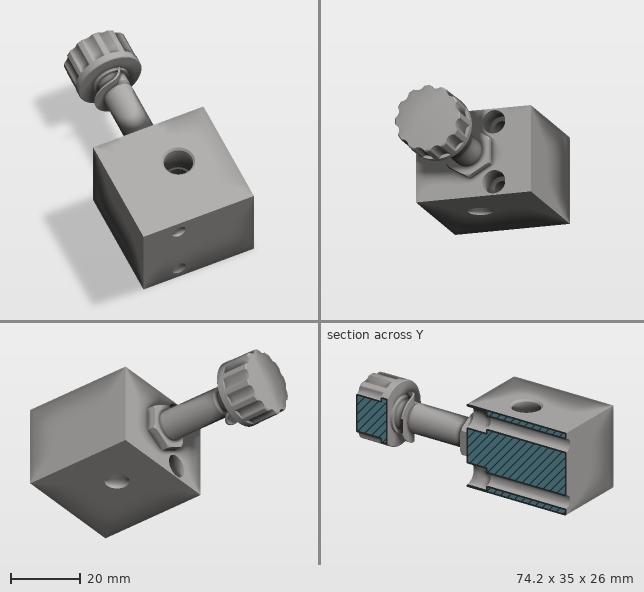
import cadquery as cq
import math

total_length = 74.2
block_width = 35.0
block_height = 26.0
block_start = total_length - block_width
stem_offset = 0.8

port_x = 53.9
port_y = 2.8
port_dia = 8.5
port_depth = 8.9
port_chamfer = 0.6
passage_dia = 7.2

screw_y = -6.2
screw_spacing = 18.0
screw_dia = 4.2
screw_head_dia = 7.0
screw_head_depth = 7.0

nut_start = 36.4
nut_flats = 13.0
nut_corners = nut_flats / math.cos(math.pi / 6)
nut_chamfer = 0.5

stem_dia = 9.05
groove_middle = 15.8
groove_floor_width = 0.4
groove_depth = 0.6
collar_dia = 11.1
collar_end = 11.95

knob_dia = 20.0
knob_front_dia = 19.9
knob_taper_end = 9.4
knob_end = 11.05
knob_crown = 0.3
knob_front_chamfer = 0.4
knob_back_chamfer = 0.2

flute_count = 12
flute_end = 8.8
flute_angle = 20.0
flute_depth = 1.05
flute_edge_fillet = 0.6

clip_dia = 14.8
clip_thickness = 0.5
clip_back = 16.5
clip_bend_radius = 4.75
clip_bend_angle = math.radians(60)
clip_bend_start = -2.5
clip_edge_steps = 6


def rod(diameter, start, end):
    """Cylinder on the X axis."""
    return cq.Workplane("YZ", origin=(start, 0, 0)).circle(diameter / 2).extrude(end - start)


def make_block():
    block = cq.Workplane("XY").box(block_width, block_width, block_height)
    block = block.translate((block_start + block_width / 2, 0, 0))

    passage = cq.Workplane("XY").circle(passage_dia / 2).extrude(block_height)
    thread = (
        cq.Workplane("XY", origin=(0, 0, block_height - port_depth))
        .circle(port_dia / 2)
        .extrude(port_depth)
    )
    mouth = (
        cq.Workplane("XY", origin=(0, 0, block_height))
        .circle(port_dia / 2 + port_chamfer)
        .workplane(offset=-port_chamfer)
        .circle(port_dia / 2)
        .loft()
    )
    port = passage.union(thread).union(mouth)
    block = block.cut(port.translate((port_x, port_y, -block_height / 2)))

    for side in (-1, 1):
        hole = rod(screw_dia, block_start, total_length)
        head = rod(screw_head_dia, block_start, block_start + screw_head_depth)
        screw = hole.union(head).translate((0, screw_y, side * screw_spacing / 2))
        block = block.cut(screw)
    return block


def make_nut():
    """Hexagon with corners pointing along Z, its front corners bevelled."""
    length = block_start - nut_start
    hexagon = (
        cq.Workplane("YZ", origin=(nut_start, 0, 0))
        .transformed(rotate=(0, 0, 90))
        .polygon(6, nut_corners)
        .extrude(length)
    )
    bevel = rod(nut_corners, nut_start, block_start).faces("<X").chamfer(nut_chamfer)
    return hexagon.intersect(bevel)


def make_stem():
    radius = stem_dia / 2
    floor = groove_floor_width / 2
    groove = (
        cq.Workplane("XY")
        .moveTo(groove_middle - floor - groove_depth, radius)
        .lineTo(groove_middle - floor, radius - groove_depth)
        .lineTo(groove_middle + floor, radius - groove_depth)
        .lineTo(groove_middle + floor + groove_depth, radius)
        .close()
        .revolve(360, (0, 0, 0), (1, 0, 0))
    )
    stem = rod(stem_dia, knob_end, nut_start).cut(groove)
    return stem.union(rod(collar_dia, knob_end, collar_end))


def make_flute():
    """Round-bottomed cutter at the +Y side of the knob."""
    radius = knob_dia / 2
    half_angle = math.radians(flute_angle / 2)
    half_chord = radius * math.sin(half_angle)
    sag = flute_depth - radius * (1 - math.cos(half_angle))
    arc_radius = (half_chord**2 + sag**2) / (2 * sag)
    return rod(2 * arc_radius, 0, flute_end).translate((0, radius - flute_depth + arc_radius, 0))


def make_knob():
    """Fluted grip, trimmed by the turned outline of the knob."""
    radius = knob_dia / 2
    rim_radius = knob_front_dia / 2
    face_radius = rim_radius - knob_front_chamfer
    outline = (
        cq.Workplane("XY")
        .threePointArc((knob_crown / 4, face_radius / 2), (knob_crown, face_radius))
        .lineTo(knob_crown + knob_front_chamfer, rim_radius)
        .lineTo(knob_taper_end, radius)
        .lineTo(knob_end - knob_back_chamfer, radius)
        .lineTo(knob_end, radius - knob_back_chamfer)
        .lineTo(knob_end, 0)
        .close()
        .revolve(360, (0, 0, 0), (1, 0, 0))
    )
    grip = rod(knob_dia, 0, flute_end)
    flute = make_flute()
    pitch = 360 / flute_count
    for index in range(flute_count):
        grip = grip.cut(flute.rotate((0, 0, 0), (1, 0, 0), (index + 0.5) * pitch))
    grip = grip.edges("|X").fillet(flute_edge_fillet)
    return grip.union(rod(knob_dia, flute_end, knob_end)).intersect(outline)


def on_bend(radius, angle):
    """XY point on the clip bend, measured from the flat plate round towards the knob."""
    bend_x = clip_back - clip_bend_radius
    return (bend_x + radius * math.cos(angle), clip_bend_start + radius * math.sin(angle))


def make_clip_strip(leg_length):
    """Side profile of the clip: flat plate, bend and straight leg, as wide as the disc."""
    inner_radius = clip_bend_radius - clip_thickness
    outer_end = on_bend(clip_bend_radius, clip_bend_angle)
    inner_end = on_bend(inner_radius, clip_bend_angle)
    leg_x = -leg_length * math.sin(clip_bend_angle)
    leg_y = leg_length * math.cos(clip_bend_angle)
    return (
        cq.Workplane("XY", origin=(0, 0, -clip_dia / 2))
        .moveTo(clip_back, -clip_dia / 2)
        .lineTo(clip_back, clip_bend_start)
        .threePointArc(on_bend(clip_bend_radius, clip_bend_angle / 2), outer_end)
        .line(leg_x, leg_y)
        .lineTo(inner_end[0] + leg_x, inner_end[1] + leg_y)
        .lineTo(*inner_end)
        .threePointArc(on_bend(inner_radius, clip_bend_angle / 2), on_bend(inner_radius, 0))
        .lineTo(clip_back - clip_thickness, -clip_dia / 2)
        .close()
        .extrude(clip_dia)
    )


def make_clip_outline(leg_length):
    """The clip is a round disc before bending, so its bent part looks shortened along Y."""
    disc_radius = clip_dia / 2
    middle_radius = clip_bend_radius - clip_thickness / 2

    def edge_point(y, flat_y):
        return (y, math.sqrt(disc_radius**2 - flat_y**2))

    edge = []
    for step in range(clip_edge_steps + 1):
        angle = clip_bend_angle * step / clip_edge_steps
        edge.append(edge_point(on_bend(middle_radius, angle)[1], clip_bend_start + middle_radius * angle))
    bend_end_y = on_bend(middle_radius, clip_bend_angle)[1]
    bend_end_flat_y = clip_bend_start + middle_radius * clip_bend_angle
    for step in range(1, clip_edge_steps + 1):
        along = leg_length * step / clip_edge_steps
        edge.append(edge_point(bend_end_y + along * math.cos(clip_bend_angle), bend_end_flat_y + along))

    lower_edge = [(y, -z) for y, z in reversed(edge)]
    return (
        cq.Workplane("YZ", origin=(knob_end - clip_thickness, 0, 0))
        .moveTo(*edge[0])
        .spline(edge[1:], includeCurrent=True)
        .lineTo(*lower_edge[0])
        .spline(lower_edge[1:], includeCurrent=True)
        .threePointArc((-disc_radius, 0), edge[0])
        .close()
        .extrude(clip_back - knob_end + clip_thickness)
    )


def make_clip():
    """Round plate in the groove whose +Y part bends over to rest on the knob."""
    bend_end_x = on_bend(clip_bend_radius, clip_bend_angle)[0]
    leg_length = (bend_end_x - knob_end) / math.sin(clip_bend_angle)
    return make_clip_strip(leg_length).intersect(make_clip_outline(leg_length))


valve = make_stem().union(make_knob()).union(make_nut()).union(make_clip())
result = make_block().union(valve.translate((0, stem_offset, 0)))